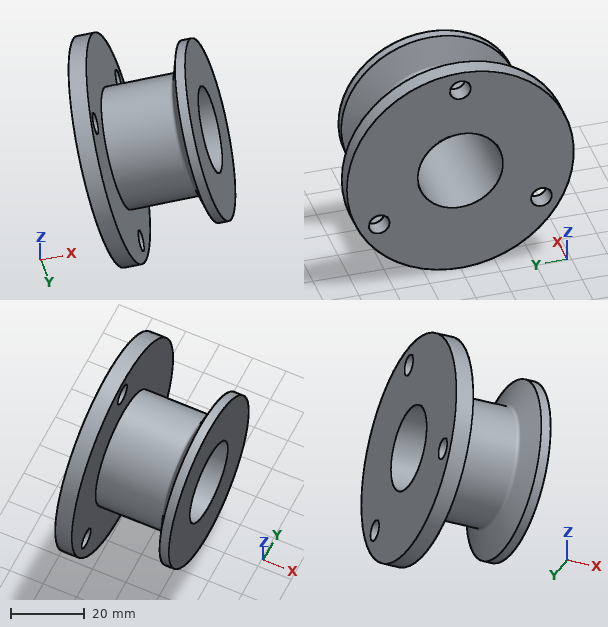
import cadquery as cq
import math

total_length = 30.81
plate_diameter = 64.0
plate_thickness = 5.0
neck_diameter = 34.0
bore_diameter = 24.0
ferrule_diameter = 50.5
ferrule_rim_width = 2.8
ferrule_back_angle = 20.0
neck_fillet_radius = 1.0

bolt_hole_diameter = 5.8
bolt_circle_diameter = 52.8
bolt_hole_count = 3
first_bolt_angle = 90.0

rim_start = total_length - ferrule_rim_width
cone_height = (ferrule_diameter - neck_diameter) / 2
cone_length = cone_height * math.tan(math.radians(ferrule_back_angle))
cone_start = rim_start - cone_length


def make_plate():
    """Round mounting plate with its outer face on X = 0."""
    return cq.Workplane("YZ").circle(plate_diameter / 2).extrude(plate_thickness)


def make_neck_and_ferrule():
    """Straight neck flaring through a fillet and a cone into the clamp ferrule."""
    neck_radius = neck_diameter / 2
    ferrule_radius = ferrule_diameter / 2
    turn = math.radians(90 - ferrule_back_angle)
    tangent_length = neck_fillet_radius * math.tan(turn / 2)
    fillet_start = cone_start - tangent_length
    fillet_center_radius = neck_radius + neck_fillet_radius

    def fillet_point(angle):
        return (
            fillet_start + neck_fillet_radius * math.sin(angle),
            fillet_center_radius - neck_fillet_radius * math.cos(angle),
        )

    return (
        cq.Workplane("XZ")
        .moveTo(0, 0)
        .lineTo(0, neck_radius)
        .lineTo(fillet_start, neck_radius)
        .threePointArc(fillet_point(turn / 2), fillet_point(turn))
        .lineTo(rim_start, ferrule_radius)
        .lineTo(total_length, ferrule_radius)
        .lineTo(total_length, 0)
        .close()
        .revolve(360, (0, 0, 0), (1, 0, 0))
    )


def make_bore():
    """Through bore along the axis."""
    return cq.Workplane("YZ").circle(bore_diameter / 2).extrude(total_length)


def make_bolt_holes():
    """Evenly spaced through holes in the mounting plate."""
    return (
        cq.Workplane("YZ")
        .polarArray(bolt_circle_diameter / 2, first_bolt_angle, 360, bolt_hole_count)
        .circle(bolt_hole_diameter / 2)
        .extrude(plate_thickness)
    )


result = make_plate().union(make_neck_and_ferrule()).cut(make_bore()).cut(make_bolt_holes())